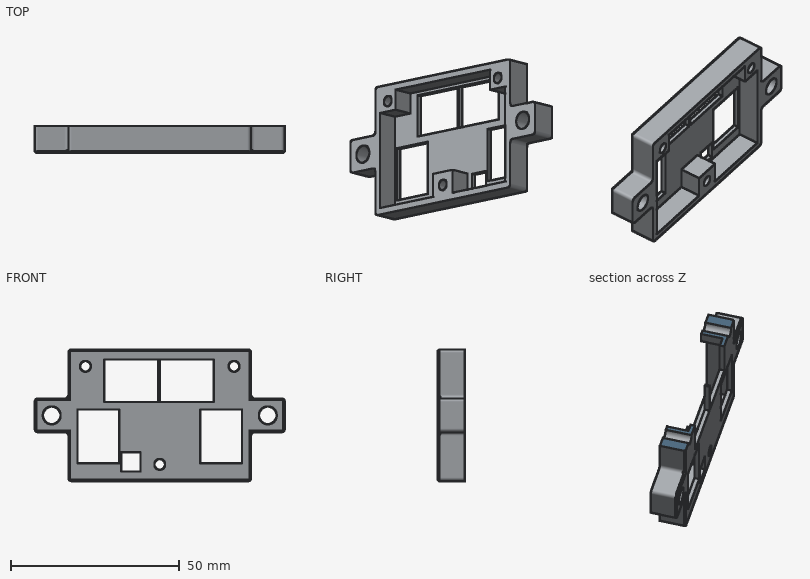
import cadquery as cq

overall_width = 74.0
body_width = 54.0
body_height = 39.0
depth = 8.0
ear_height = 10.0
corner_radius = 1.0
front_chamfer = 0.5
plate_thickness = 1.5
wall_thickness = 2.0

ear_hole_diameter = 5.2
ear_hole_x = 32.0
screw_hole_diameter = 3.1
screw_x = 22.0
screw_z = 14.5
upper_boss_size = 6.2
lower_boss_size = 7.9

upper_window_width = 15.8
upper_window_height = 12.5
upper_window_z = 10.2
upper_window_gap = 0.7
upper_window_shift = -0.2
side_window_width = 12.3
side_window_height = 15.8
side_window_x = 18.1
side_window_z = -6.2
small_window_size = 5.6
small_window_x = -8.5
small_window_z = -13.8

front_y = -depth / 2
back_y = depth / 2
plate_back_y = front_y + plate_thickness
ear_points = [(-ear_hole_x, 0), (ear_hole_x, 0)]
screw_points = [(-screw_x, screw_z), (screw_x, screw_z), (0, -screw_z)]


def block(width, height, y_start, y_end, x=0, z=0):
    """Box spanning y_start to y_end, centred on (x, z)."""
    return cq.Workplane("XY").box(width, y_end - y_start, height).translate((x, (y_start + y_end) / 2, z))


def cylinders(diameter, points, y_start, y_end):
    """Cylinders along Y at the given (x, z) points."""
    plane = cq.Workplane("XZ", origin=(0, y_start, 0))
    return plane.pushPoints(points).circle(diameter / 2).extrude(y_start - y_end)


def outer_block():
    """Body with an ear on each side, rounded upright edges and a chamfered front rim."""
    body = block(body_width, body_height, front_y, back_y)
    ears = block(overall_width, ear_height, front_y, back_y)
    chamfered = body.union(ears).faces("<Y").edges().chamfer(front_chamfer)
    return chamfered.edges("|Y").fillet(corner_radius)


def cavity():
    """Hollow behind the front plate, leaving square bosses for the screws."""
    hollow = block(
        body_width - 2 * wall_thickness,
        body_height - 2 * wall_thickness,
        plate_back_y,
        back_y,
    )
    for x, z in screw_points:
        boss_size = upper_boss_size if z > 0 else lower_boss_size
        hollow = hollow.cut(block(boss_size, boss_size, front_y, back_y, x, z))
    return hollow


def windows():
    """Rectangular openings through the front plate."""
    upper_offset = (upper_window_width + upper_window_gap) / 2
    openings = block(
        small_window_size, small_window_size, front_y, plate_back_y, small_window_x, small_window_z
    )
    for side in (-1, 1):
        upper_x = upper_window_shift + side * upper_offset
        openings = openings.union(
            block(upper_window_width, upper_window_height, front_y, plate_back_y, upper_x, upper_window_z)
        )
        openings = openings.union(
            block(
                side_window_width,
                side_window_height,
                front_y,
                plate_back_y,
                side * side_window_x,
                side_window_z,
            )
        )
    return openings


result = (
    outer_block()
    .cut(cavity())
    .cut(windows())
    .cut(cylinders(screw_hole_diameter, screw_points, front_y, back_y))
    .cut(cylinders(ear_hole_diameter, ear_points, front_y, back_y))
)